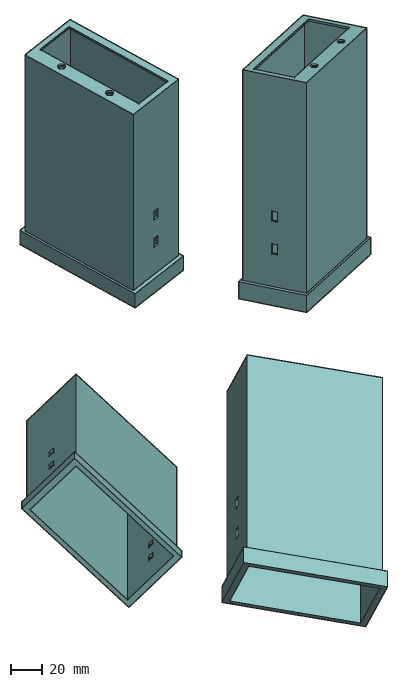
import cadquery as cq

total_height = 160.8
base_length = 96.0
base_width = 48.0
base_height = 12.0
tower_length = 90.3
tower_width = 44.8

wall = 1.5
lid_thickness = 1.5
cavity_length = tower_length - 2 * wall
cavity_width = tower_width - 2 * wall

opening_length = 82.3
opening_width = 29.0
opening_center_y = 2.3

screw_spacing = 40.0
screw_y = -16.0
screw_diameter = 3.5
countersink_diameter = 5.0
countersink_angle = 90.0

slot_width = 4.0
slot_height = 7.0
slot_heights = (38.5, 61.7)


def block(length, width, height, bottom=0.0):
    """Box centered on the vertical axis, standing at the given height."""
    return (
        cq.Workplane("XY")
        .box(length, width, height, centered=(True, True, False))
        .translate((0, 0, bottom))
    )


def shell():
    """Tower on a wider base, hollow up to the underside of the lid."""
    base = block(base_length, base_width, base_height)
    tower = block(tower_length, tower_width, total_height)
    cavity = block(cavity_length, cavity_width, total_height - lid_thickness)
    return base.union(tower).cut(cavity)


def lid_opening():
    opening = block(opening_length, opening_width, lid_thickness, total_height - lid_thickness)
    return opening.translate((0, opening_center_y, 0))


def cut_screw_holes(body):
    return (
        body.faces(">Z")
        .workplane(origin=(0, 0, total_height))
        .pushPoints([(side * screw_spacing / 2, screw_y) for side in (-1, 1)])
        .cskHole(screw_diameter, countersink_diameter, countersink_angle, depth=lid_thickness)
    )


def end_slot(center_height):
    return block(base_length, slot_width, slot_height, center_height - slot_height / 2)


body = cut_screw_holes(shell().cut(lid_opening()))
for slot_center in slot_heights:
    body = body.cut(end_slot(slot_center))

result = body